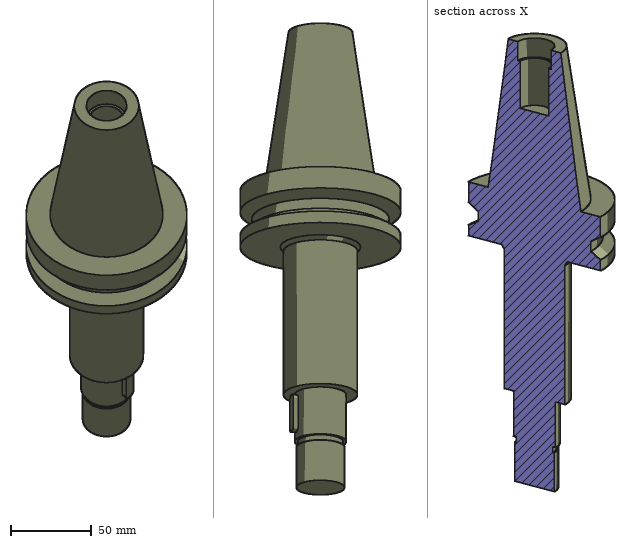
import cadquery as cq

total_height = 296.8
tip_top = 26.5
relief_top = 30.0
journal_top = 60.5
body_top = 154.3
flange_bottom = 157.0
flange_top = 193.5
gauge_height = 195.0

tip_radius = 30.0 / 2
relief_radius = 28.2 / 2
journal_radius = 16.0
body_radius = 46.0 / 2
neck_radius = 25.0
flange_radius = 100.0 / 2
groove_radius = 42.7
gauge_radius = 35.0
taper_end_radius = 40.0 / 2

groove_lower_edge = 164.5
groove_lower_floor = 168.5
groove_upper_floor = 175.0
groove_upper_edge = 179.5

bore_radius = 12.5
bore_depth = 12.8
pilot_radius = 10.7
pilot_depth = 44.5

key_bottom = 34.5
key_top = 58.8
key_width = 7.0
key_outer_x = 19.0
key_seat_x = 12.0


def turned_body():
    """Revolve the outer outline, listed as (radius, height) from the tip up."""
    outline = [
        (0, 0),
        (tip_radius, 0),
        (tip_radius, tip_top),
        (relief_radius, tip_top),
        (relief_radius, relief_top),
        (journal_radius, relief_top),
        (journal_radius, journal_top),
        (body_radius, journal_top),
        (body_radius, body_top),
        (neck_radius, flange_bottom),
        (flange_radius, flange_bottom),
        (flange_radius, groove_lower_edge),
        (groove_radius, groove_lower_floor),
        (groove_radius, groove_upper_floor),
        (flange_radius, groove_upper_edge),
        (flange_radius, flange_top),
        (gauge_radius, flange_top),
        (gauge_radius, gauge_height),
        (taper_end_radius, total_height),
        (0, total_height),
    ]
    return cq.Workplane("XZ").polyline(outline).close().revolve(360, (0, 0), (0, 1))


def blind_hole(radius, depth):
    """Cylinder running down from the small end of the taper."""
    return cq.Workplane("XY", origin=(0, 0, total_height)).circle(radius).extrude(-depth)


def journal_key():
    """Key with semicircular ends, standing along Z."""
    middle = (key_bottom + key_top) / 2
    return (
        cq.Workplane("YZ", origin=(key_seat_x, 0, middle))
        .slot2D(key_top - key_bottom, key_width, 90)
        .extrude(key_outer_x - key_seat_x)
    )


result = (
    turned_body()
    .cut(blind_hole(bore_radius, bore_depth))
    .cut(blind_hole(pilot_radius, pilot_depth))
    .union(journal_key())
)